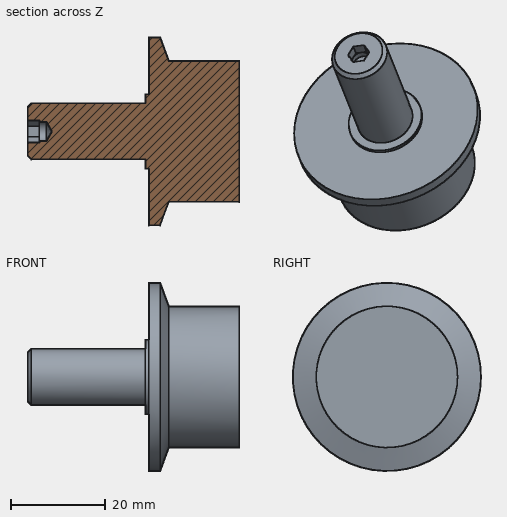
import cadquery as cq
import math

total_length = 45.0
washer_start = 25.0
flange_start = 25.75
rim_end = 28.15
roller_start = 30.0

stud_diameter = 12.0
washer_diameter = 15.9
flange_diameter = 40.0
roller_diameter = 30.0

tip_chamfer = 0.8

socket_across_flats = 4.0
socket_depth = 2.5
pilot_depth = 4.0
drill_point_angle = 120.0

tip_x = -total_length / 2


def cylinder(start, end, diameter):
    """Cylinder along X between two stations measured from the stud tip."""
    plane = cq.Workplane("YZ", origin=(tip_x + start, 0, 0))
    return plane.circle(diameter / 2).extrude(end - start)


def make_stud():
    stud = cylinder(0, washer_start, stud_diameter)
    return stud.faces("<X").chamfer(tip_chamfer)


def make_flanged_roller():
    """Roller with a flange whose back tapers down to the rolling surface."""
    profile = [
        (tip_x + flange_start, 0),
        (tip_x + flange_start, flange_diameter / 2),
        (tip_x + rim_end, flange_diameter / 2),
        (tip_x + roller_start, roller_diameter / 2),
        (tip_x + total_length, roller_diameter / 2),
        (tip_x + total_length, 0),
    ]
    section = cq.Workplane("XY").polyline(profile).close()
    return section.revolve(360, (0, 0, 0), (1, 0, 0))


def make_socket():
    """Hexagonal cutter, corners along Y, with a drilled pilot hole as wide as its flats."""
    corner_diameter = socket_across_flats / math.cos(math.pi / 6)
    hexagon = cq.Workplane("YZ", origin=(tip_x, 0, 0)).polygon(6, corner_diameter).extrude(socket_depth)

    pilot = cylinder(0, pilot_depth, socket_across_flats)
    point_radius = socket_across_flats / 2
    point_length = point_radius / math.tan(math.radians(drill_point_angle / 2))
    point = cq.Solid.makeCone(
        point_radius, 0, point_length, cq.Vector(tip_x + pilot_depth, 0, 0), cq.Vector(1, 0, 0)
    )
    return hexagon.union(pilot).union(cq.Workplane(obj=point))


washer = cylinder(washer_start, flange_start, washer_diameter)
result = make_stud().union(washer).union(make_flanged_roller()).cut(make_socket())